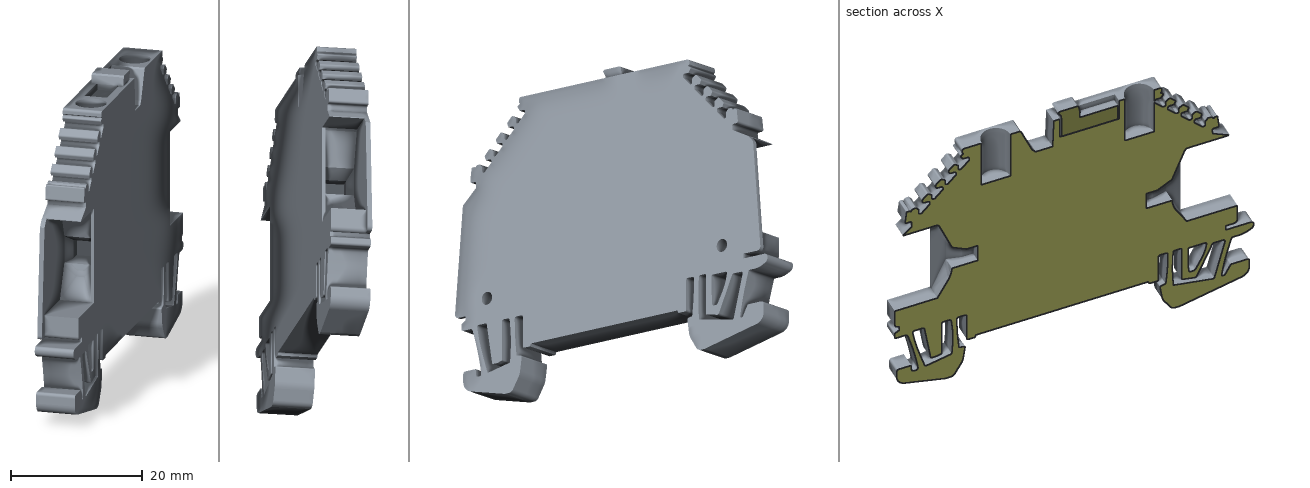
import cadquery as cq
import math


thickness = 6.1
total_height = 47.85
housing_top = 46.3
wall_thickness = 0.75

tooth_pitch = 2.2
valley_count = 4
first_valley_y = 16.5
first_valley_z = 44.2

wall_hole_ys = (22.95, -23.1)
wall_hole_z = 15.7
wall_hole_diameter = 2.0
wall_hole_depth = 3.05

shaft_x = 3.35
shaft_ys = (11.0, -12.9)
shaft_diameter = 4.8
shaft_depth = 8.55

roof_underside = 32.1
block_top = 17.2
block_bottom = 13.65
mouth_y = 20.8
far_wall_thickness = 0.5
roof_ends = {1: 26.5, -1: 27.95}
block_ends = {1: 27.9, -1: 29.25}
block_edge_radius = 0.6

entry_back_y = 18.35
entry_lip = 0.3
entry_ceiling = 26.6
funnel_depth = 2.45
wire_funnel_bottom = 22.4
wire_hole_x = (1.45, 5.0)
wire_hole_top = 25.35
wire_hole_depth = 1.85

ramp_shoulder_z = 22.0
hollow_tip_x = (2.75, 4.0)
hollow_tip_z = (20.5, 21.4)
hollow_tip_y = (18.85, 18.55)

notch_start_x = 0.85
notch_back_y = 7.05
notch_floor = 41.1
notch_ledge = 41.75

slot_x = (1.35, 4.9)
slot_y = (-9.5, 0.3)
slot_depth = 3.7
clearance = 0.2
arm_recess = 0.9
knob_x = (0.55, 5.6)
knob_front_y = -3.05
stem_setback = 0.05
knob_neck_y = 0.2
knob_nose_y = 0.7

edge_bevel = 0.25


def rounded_wire(corners):
    """Closed YZ wire through (y, z) or (y, z, radius) corners; a radius rounds its corner."""
    path = None
    count = len(corners)
    for index, corner in enumerate(corners):
        y, z = corner[:2]
        radius = corner[2] if len(corner) > 2 else 0
        if radius == 0:
            stops = [(y, z)]
        else:
            before = corners[index - 1]
            after = corners[(index + 1) % count]
            angle_in = math.atan2(before[1] - z, before[0] - y)
            angle_out = math.atan2(after[1] - z, after[0] - y)
            half = abs(math.remainder(angle_out - angle_in, math.tau)) / 2
            middle = angle_in + math.remainder(angle_out - angle_in, math.tau) / 2
            setback = radius / math.tan(half)
            rise = radius / math.sin(half) - radius
            stops = [
                (y + setback * math.cos(angle_in), z + setback * math.sin(angle_in)),
                (y + rise * math.cos(middle), z + rise * math.sin(middle)),
                (y + setback * math.cos(angle_out), z + setback * math.sin(angle_out)),
            ]
        path = cq.Workplane("YZ").moveTo(*stops[0]) if path is None else path.lineTo(*stops[0])
        if radius:
            path = path.threePointArc(stops[1], stops[2])
    return path.close()


def box(x_range, y_range, z_range):
    """Box between two limits along each axis, given in either order."""
    spans = [sorted(limits) for limits in (x_range, y_range, z_range)]
    return cq.Workplane("XY").box(*[high - low for low, high in spans], centered=False).translate(
        tuple(low for low, high in spans)
    )


def shoulder():
    """Corners of the +Y toothed shoulder, from the top edge down to the last tooth."""
    corners = [(16.7, housing_top, 0.4), (16.7, 45.5), (16.45, 45.3), (17.0, 44.9, 0.2)]
    for number in range(valley_count):
        y = first_valley_y + number * tooth_pitch
        z = first_valley_z - number * tooth_pitch
        corners += [
            (y, z),
            (y - 1.05, z, 0.3),
            (y - 1.05, z - 0.55),
            (y + 0.3, z - 1.9),
            (y + 0.75, z - 1.9, 0.25),
            (y + 0.75, z - 1.0, 0.25),
        ]
        if number < valley_count - 1:
            corners += [(y + 1.45, z - 0.5, 0.3), (y + 2.5, z - 1.5, 0.3)]
    corners += [
        (24.35, 37.15, 0.2),
        (25.0, 37.1),
        (25.3, 36.65),
        (25.45, 36.9),
        (25.95, 36.9, 0.2),
        (26.25, 34.5, 0.3),
        (25.1, 34.5, 0.25),
    ]
    return corners


def housing_outline():
    plus_end = [
        (25.1, 33.55),
        (27.65, 31.2),
        (29.2, 14.4),
        (29.2, block_bottom, block_edge_radius),
        (27.2, block_bottom),
        (27.2, 13.0),
        (27.95, 12.55, 0.3),
        (27.95, 11.45, 0.35),
        (25.8, 11.45, 0.5),
        (24.65, 7.45, 42.85),
    ]
    plus_foot = [
        (24.0, 3.7, 0.35),
        (25.05, 3.7, 0.35),
        (25.15, 4.95),
        (27.6, 4.95, 0.4),
        (27.6, 1.95, 1.85),
        (19.45, 0),
        (18.1, 0, 0.9),
        (16.5, 2.6, 2.45),
        (16.1, 5.45, 0.25),
        (17.15, 5.6),
        (17.5, 8.7, 42.85),
        (17.5, 11.8, 0.3),
        (15.9, 11.8, 0.3),
    ]
    underside = [
        (15.9, 6.6, 0.3),
        (14.5, 6.6),
        (14.3, 7.05),
        (-14.3, 7.05),
        (-14.55, 6.6),
        (-16.1, 6.6, 0.3),
    ]
    minus_foot = [
        (-16.1, 11.8, 0.3),
        (-17.6, 11.8, 0.3),
        (-17.6, 8.7, 42.85),
        (-17.25, 5.6),
        (-16.3, 5.45, 0.25),
        (-16.7, 2.6, 2.45),
        (-18.35, 0, 1.1),
        (-19.65, 0),
        (-31.3, 2.4, 1.7),
        (-31.3, 5.5, 0.5),
        (-28.15, 5.5, 0.25),
        (-27.1, 3.7, 0.2),
        (-26.6, 3.7, 0.2),
        (-27.25, 7.15, 42.85),
    ]
    minus_end = [
        (-28.35, 10.9, 0.3),
        (-30.3, 10.9, 3.7),
        (-32.0, 11.7, 0.85),
        (-32.0, 12.9, 0.6),
        (-27.35, 12.9),
        (-27.35, block_bottom),
        (-30.65, block_bottom, block_edge_radius),
        (-29.2, 31.1),
        (-28.3, 32.05),
        (-25.15, 33.6),
    ]
    other_shoulder = [(-corner[0], *corner[1:]) for corner in reversed(shoulder())]
    return shoulder() + plus_end + plus_foot + underside + minus_foot + minus_end + other_shoulder


plus_window = [
    (24.9, 11.8, 0.25),
    (23.0, 11.8, 0.25),
    (21.9, 5.15, 0.3),
    (20.85, 5.15),
    (20.0, 5.4, 0.2),
    (20.0, 11.8, 0.3),
    (18.55, 11.8, 0.35),
    (18.1, 8.7, 24.5),
    (18.4, 4.8, 0.2),
    (22.8, 3.9, 0.3),
    (24.4, 9.0, 30.6),
]
minus_window = [
    (-18.6, 11.8, 0.3),
    (-19.95, 11.8, 0.2),
    (-19.95, 5.4, 0.2),
    (-22.4, 4.9, 0.35),
    (-25.15, 10.9, 0.25),
    (-27.25, 10.9, 0.3),
    (-25.35, 3.6, 0.25),
    (-18.6, 4.85, 0.1),
    (-18.35, 8.7, 36.7),
]
minus_inner_window = [
    (-21.05, 11.45, 0.25),
    (-24.1, 11.45, 0.25),
    (-23.8, 9.6, 7.35),
    (-22.15, 6.55, 0.5),
    (-21.2, 6.55, 0.35),
    (-21.05, 9.0, 48.95),
]


def funnel(x_outer, z_outer, x_inner, z_inner, y_outer, y_inner):
    """Frustum between two rectangles that lie in planes of constant Y."""
    wires = []
    for xs, zs, y in ((x_outer, z_outer, y_outer), (x_inner, z_inner, y_inner)):
        corners = [(xs[0], y, zs[0]), (xs[1], y, zs[0]), (xs[1], y, zs[1]), (xs[0], y, zs[1])]
        wires.append(cq.Wire.makePolygon([cq.Vector(*corner) for corner in corners], close=True))
    return cq.Workplane(cq.Solid.makeLoft(wires, True))


def guide_hollow(mouth_x):
    """Six-sided hollow sunk into the +Y ramp, narrowing to a small flat."""

    def on_ramp(x, z):
        climb = (z - block_top) / (wire_funnel_bottom - block_top)
        return cq.Vector(x, mouth_y + (entry_back_y - mouth_y) * climb, z)

    foot = [on_ramp(x, block_top) for x in mouth_x]
    shoulders = [on_ramp(x, ramp_shoulder_z) for x in mouth_x]
    crest = [on_ramp(x, wire_funnel_bottom) for x in wire_hole_x]
    tip_low = [cq.Vector(x, hollow_tip_y[0], hollow_tip_z[0]) for x in hollow_tip_x]
    tip_high = [cq.Vector(x, hollow_tip_y[1], hollow_tip_z[1]) for x in hollow_tip_x]
    outlines = [
        [*foot, shoulders[1], crest[1], crest[0], shoulders[0]],
        [*foot, tip_low[1], tip_low[0]],
        [*tip_low, tip_high[1], tip_high[0]],
        [*tip_high, crest[1], crest[0]],
    ]
    for end in (0, 1):
        outlines += [
            [foot[end], shoulders[end], tip_low[end]],
            [shoulders[end], tip_high[end], tip_low[end]],
            [shoulders[end], crest[end], tip_high[end]],
        ]
    faces = [cq.Face.makeFromWires(cq.Wire.makePolygon(outline, close=True)) for outline in outlines]
    return cq.Workplane(cq.Solid.makeSolid(cq.Shell.makeShell(faces)))


def wire_entry(side):
    """Everything removed at one end: the recess behind the cover wall and the funnels in it."""
    beyond = side * total_height
    behind_wall = (wall_thickness, thickness)
    recess = box(behind_wall, (side * mouth_y, beyond), (block_top, roof_underside))
    above_block = box(behind_wall, (side * roof_ends[side], beyond), (block_top, housing_top))
    block_end = box(behind_wall, (side * block_ends[side], beyond), (block_bottom, block_top))
    edge_y = side * (block_ends[side] - block_edge_radius)
    edge_z = block_bottom + block_edge_radius
    block_edge = box(behind_wall, (edge_y, edge_y + side * block_edge_radius), (block_bottom, edge_z))
    rounding = cq.Workplane("YZ").center(edge_y, edge_z).circle(block_edge_radius)
    block_edge = block_edge.cut(rounding.extrude(thickness))

    throat_x = (wall_thickness, thickness - far_wall_thickness)
    back = side * entry_back_y
    inner = side * (entry_back_y - funnel_depth)
    throat_corners = [
        (side * mouth_y, block_top),
        (side * mouth_y, roof_underside),
        (side * (mouth_y - entry_lip), roof_underside - entry_lip),
        (back, entry_ceiling),
        (back, wire_funnel_bottom),
    ]
    throat = (
        rounded_wire(throat_corners)
        .extrude(throat_x[1] - throat_x[0])
        .translate((throat_x[0], 0, 0))
    )
    wire_hole_z = (wire_funnel_bottom, wire_hole_top)
    wire_funnel = funnel(
        throat_x, (wire_funnel_bottom, entry_ceiling), wire_hole_x, wire_hole_z, back, inner
    )
    wire_hole = box(wire_hole_x, (inner, inner - side * wire_hole_depth), wire_hole_z)
    hollow = guide_hollow(throat_x)
    if side < 0:
        hollow = hollow.mirror("XZ")
    cuts = recess
    for cut in (above_block, block_end, block_edge, throat, wire_funnel, wire_hole, hollow):
        cuts = cuts.union(cut)
    return cuts


def notch():
    """Stepped notch beside the lever, open towards +X."""
    profile = [
        (notch_back_y, housing_top),
        (notch_back_y - edge_bevel, housing_top - edge_bevel),
        (4.95, notch_ledge),
        (4.4, notch_floor),
        (1.6, notch_floor),
        (1.4, housing_top),
    ]
    return rounded_wire(profile).extrude(thickness - notch_start_x).translate((notch_start_x, 0, 0))


def make_housing():
    body = rounded_wire(housing_outline()).extrude(thickness)
    for window in (plus_window, minus_window, minus_inner_window):
        body = body.cut(rounded_wire(window).extrude(thickness))
    for side in (1, -1):
        body = body.cut(wire_entry(side))
    for wall_hole_y in wall_hole_ys:
        wall_hole = cq.Workplane("YZ").center(wall_hole_y, wall_hole_z)
        body = body.cut(wall_hole.circle(wall_hole_diameter / 2).extrude(wall_hole_depth))
    for shaft_y in shaft_ys:
        shaft = cq.Workplane("XY", origin=(shaft_x, shaft_y, housing_top))
        body = body.cut(shaft.circle(shaft_diameter / 2).extrude(-shaft_depth))
    body = body.cut(notch())
    return body.cut(box(slot_x, slot_y, (housing_top - slot_depth, housing_top)))


def make_lever():
    knob_profile = [
        (knob_front_y, housing_top),
        (knob_front_y + edge_bevel, total_height - edge_bevel),
        (knob_front_y + 2 * edge_bevel, total_height),
        (knob_nose_y - edge_bevel, total_height),
        (knob_nose_y, total_height - edge_bevel),
        (knob_neck_y, housing_top + 2 * edge_bevel),
        (knob_neck_y, housing_top),
    ]
    knob = rounded_wire(knob_profile).extrude(knob_x[1] - knob_x[0]).translate((knob_x[0], 0, 0))
    arm_x = (slot_x[0] + clearance, slot_x[1] - clearance)
    arm_y = (slot_y[0] + clearance, slot_y[1] - clearance)
    slot_floor = housing_top - slot_depth
    arm = box(arm_x, arm_y, (slot_floor, housing_top - arm_recess))
    stem = box(arm_x, (knob_front_y + stem_setback, arm_y[1]), (slot_floor, housing_top))
    return knob.union(stem).union(arm)


housing = make_housing()
lever = make_lever()

result = cq.Compound.makeCompound([housing.val(), lever.val()])